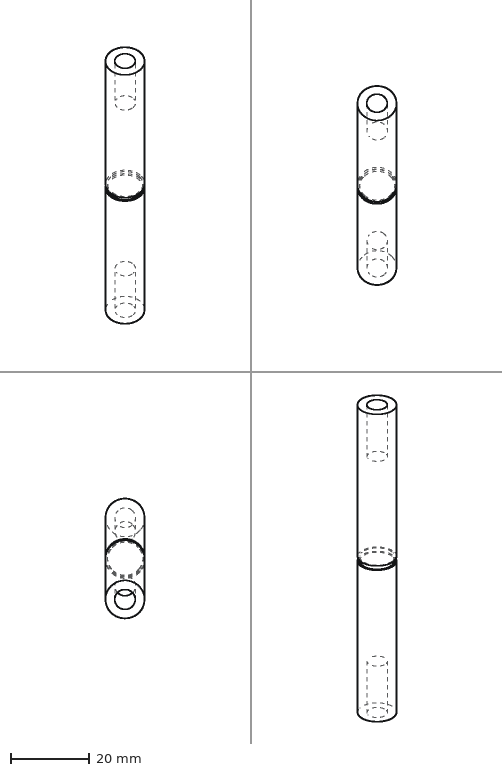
import cadquery as cq
import math

length = 90.0
rod_diameter = 10.0

groove_diameter = 9.0
groove_width = 1.3

hole_diameter = 5.2
hole_depth = 15.0
drill_tip_angle = 118.0


def make_groove():
    """Ring that cuts the rod down to the groove diameter at mid length."""
    return (
        cq.Workplane("XY", origin=(0, 0, (length - groove_width) / 2))
        .circle(rod_diameter)
        .circle(groove_diameter / 2)
        .extrude(groove_width)
    )


def make_drilled_hole():
    """Drill shape reaching down from the top end, revolved about Z."""
    radius = hole_diameter / 2
    shoulder_z = length - hole_depth
    tip_z = shoulder_z - radius / math.tan(math.radians(drill_tip_angle / 2))
    return (
        cq.Workplane("XZ")
        .moveTo(0, length)
        .lineTo(radius, length)
        .lineTo(radius, shoulder_z)
        .lineTo(0, tip_z)
        .close()
        .revolve(360, (0, 0, 0), (0, 1, 0))
    )


rod = cq.Workplane("XY").circle(rod_diameter / 2).extrude(length)
top_hole = make_drilled_hole()
bottom_hole = top_hole.mirror("XY", (0, 0, length / 2))
result = rod.cut(make_groove()).cut(top_hole).cut(bottom_hole)